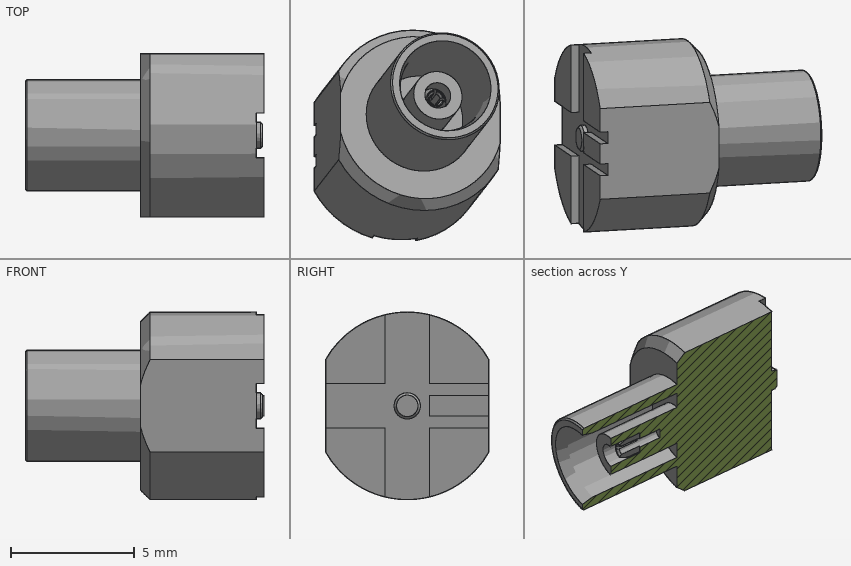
import cadquery as cq

total_length = 9.65
flange_start = 4.65
pin_end = 9.59

body_diameter = 7.585
body_width = 6.6
body_chamfer = 0.39

barrel_diameter = 4.5
barrel_chamfer = 0.07
bore_diameter = 3.49
bore_mouth_diameter = 3.78
bore_taper_length = 0.5
bore_depth = flange_start

insulator_diameter = 2.0
insulator_start = 1.39
socket_tip_recess = 0.48
socket_diameter = 1.06
socket_tip_diameter = 0.71
socket_taper_length = 0.39
socket_hole_diameter = 0.44
socket_mouth_diameter = 0.62
socket_mouth_depth = 0.1
socket_hole_depth = 1.93
socket_slot_width = 0.1
socket_slot_depth = 0.965

rear_slot_width = 1.795
rear_slot_depth = 0.32
pin_diameter = 1.06
pin_chamfer = 0.1
key_width = 0.83


def cylinder(diameter, start, end):
    """Solid cylinder on the X axis between two positions."""
    return cq.Workplane("YZ", origin=(start, 0, 0)).circle(diameter / 2).extrude(end - start)


def cone(start_diameter, end_diameter, start, length):
    """Solid frustum on the X axis."""
    profile = [
        (start, 0),
        (start, start_diameter / 2),
        (start + length, end_diameter / 2),
        (start + length, 0),
    ]
    return cq.Workplane("XY").polyline(profile).close().revolve(360, (0, 0, 0), (1, 0, 0))


def crossed_slots(width, span, start, end):
    """Two crossed bars, along Y and along Z, between two X positions."""
    plane = cq.Workplane("YZ", origin=(start, 0, 0))
    along_y = plane.rect(span, width).extrude(end - start)
    along_z = plane.rect(width, span).extrude(end - start)
    return along_y.union(along_z)


def make_body():
    """Round body with a front chamfer, two side flats and rear crossed slots."""
    body = cylinder(body_diameter, flange_start, total_length).faces("<X").chamfer(body_chamfer)
    flats = cq.Workplane("YZ").rect(body_width, body_diameter).extrude(total_length)
    slots = crossed_slots(
        rear_slot_width, body_diameter, total_length - rear_slot_depth, total_length
    )
    return body.intersect(flats).cut(slots)


def make_barrel():
    """Plain front barrel with a small edge chamfer."""
    return cylinder(barrel_diameter, 0, flange_start).faces("<X").chamfer(barrel_chamfer)


def make_bore():
    """Space cut from the barrel, with a tapered mouth."""
    mouth = cone(bore_mouth_diameter, bore_diameter, 0, bore_taper_length)
    return cylinder(bore_diameter, 0, bore_depth).union(mouth)


def make_insulator():
    """Insulator post with a round hole through its length."""
    post = cylinder(insulator_diameter, insulator_start, bore_depth)
    return post.cut(cylinder(socket_diameter, insulator_start, bore_depth))


def make_socket():
    """Centre socket filling the insulator hole, with a tapered, four-slotted tip."""
    tip = insulator_start + socket_tip_recess
    taper = cone(socket_tip_diameter, socket_diameter, tip, socket_taper_length)
    shank = cylinder(socket_diameter, tip + socket_taper_length, bore_depth)
    hole = cylinder(socket_hole_diameter, tip, tip + socket_hole_depth)
    mouth = cone(socket_mouth_diameter, socket_hole_diameter, tip, socket_mouth_depth)
    slots = crossed_slots(socket_slot_width, socket_diameter, tip, tip + socket_slot_depth)
    return taper.union(shank).cut(hole).cut(mouth).cut(slots)


def make_rear_pin():
    """Chamfered end of the centre contact, standing on the slot floor."""
    pin = cylinder(pin_diameter, total_length - rear_slot_depth, pin_end)
    return pin.faces(">X").chamfer(pin_chamfer)


def make_key():
    """Rib filling the middle of the +Y rear slot up to the rear face."""
    inner_y = rear_slot_width / 2
    length = body_width / 2 - inner_y
    return cq.Workplane("XY").box(
        rear_slot_depth, length, key_width, centered=(False, False, True)
    ).translate((total_length - rear_slot_depth, inner_y, 0))


shell = make_body().union(make_barrel()).cut(make_bore())
contact = make_socket().union(make_rear_pin())
result = shell.union(make_insulator()).union(contact).union(make_key())